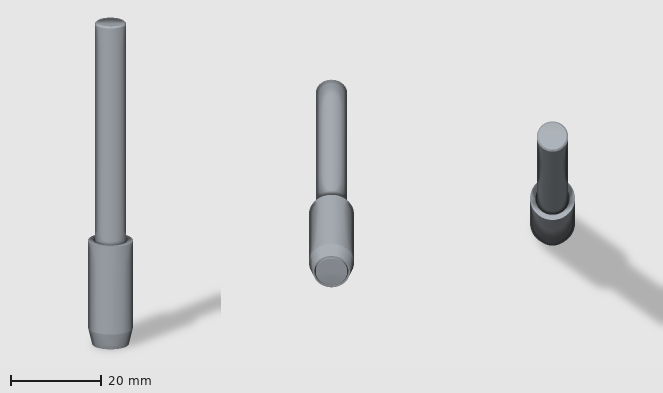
import cadquery as cq

TOTAL_LENGTH = 75.0

SLEEVE_DIAMETER = 10.0
SLEEVE_LENGTH = 24.15
TAPER_LENGTH = 3.75
TAPER_END_DIAMETER = 8.2

PIN_DIAMETER = 7.0
PIN_CHAMFER = 0.4

RADIAL_CLEARANCE = 0.3
BORE_DIAMETER = PIN_DIAMETER + 2 * RADIAL_CLEARANCE


def make_sleeve():
    outer_radius = SLEEVE_DIAMETER / 2
    bore_radius = BORE_DIAMETER / 2
    profile = (
        cq.Workplane("XZ")
        .moveTo(bore_radius, 0)
        .lineTo(TAPER_END_DIAMETER / 2, 0)
        .lineTo(outer_radius, TAPER_LENGTH)
        .lineTo(outer_radius, SLEEVE_LENGTH)
        .lineTo(bore_radius, SLEEVE_LENGTH)
        .close()
    )
    return profile.revolve(360, (0, 0, 0), (0, 1, 0))


def make_pin():
    rod = cq.Workplane("XY").circle(PIN_DIAMETER / 2).extrude(TOTAL_LENGTH)
    return rod.faces(">Z").edges().chamfer(PIN_CHAMFER)


sleeve = make_sleeve()
pin = make_pin()

result = cq.Compound.makeCompound([sleeve.val(), pin.val()])